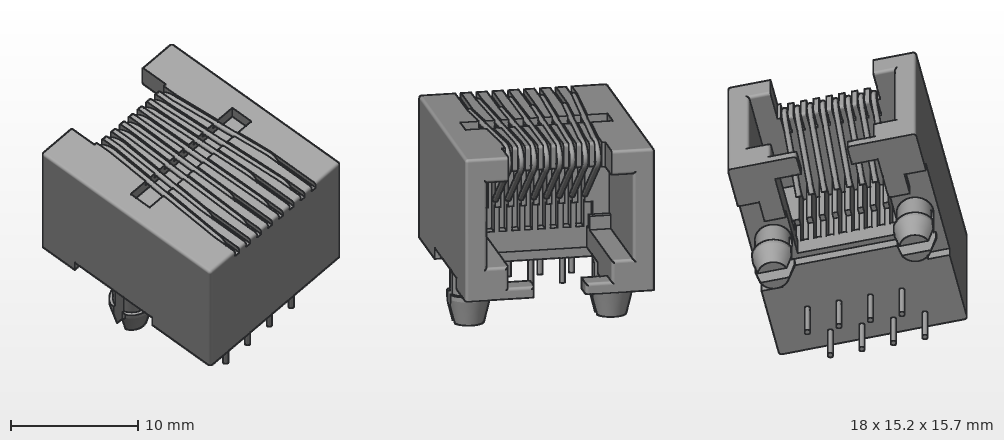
import cadquery as cq
import math

LENGTH = 18.0
WIDTH = 15.15
HEIGHT = 11.63
EDGE_R = 0.25

CAVITY_HALF = 5.85
CAVITY_FLOOR = 2.65
CAVITY_ROOF = 9.61
CAVITY_DEPTH = 9.0
KEY_HALF = 4.14
LATCH_RECESS_HALF = 4.5
LATCH_RECESS_TOP = 4.8
LATCH_RECESS_DEPTH = 9.54
STOP_DEPTH = 8.46
STOP_TOP = 3.76
ROOF_CUTOUT = 2.52
TAB_LENGTH = 1.7
TAB_TOP = 0.9
TAB_GAP_HALF = 2.05

NOTCH_START = 5.42
NOTCH_END = 10.0
NOTCH_HEIGHT = 0.92
SIDE_POCKET_START = 3.56
SIDE_POCKET_END = 11.79
WINDOW_START = 8.0
WINDOW_END = 10.0
WINDOW_HALF = 5.9
WINDOW_DEPTH = 1.08

POST_X = 7.88
POST_Y = 5.7
POST_D = 2.92
COLLAR_D = 3.5
COLLAR_WIDTH = 3.11
TIP_D = 2.5
COLLAR_TOP = -1.6
COLLAR_BOTTOM = -2.0
POST_BOTTOM = -4.05
POST_SLOT = 0.9
POST_SLOT_TOP = 0.45

LEAD_COUNT = 8
LEAD_D = 0.45
LEAD_TOP = HEIGHT + 0.04
LEAD_Z = LEAD_TOP - LEAD_D / 2
FRONT_PITCH = 1.03
ROW_SPACING = 2.54
LEG_PITCH = ROW_SPACING / 2
LEG_ROWS = (14.22, 14.22 + ROW_SPACING)
LEG_BOTTOM = -3.3
LEG_BEND_R = 1.0
HOOK_X = 4.01
HOOK_REACH = 1.5
HOOK_DROP = 1.12
ARM_ANGLE = 38.0
ARM_TIP_Z = 5.89

FRONT_SLOT = 0.6
REAR_SLOT = 0.47
GROOVE_DEPTH = 0.5
BACK_SLOT_DEPTH = 10.44

TINY = 0.02


def block(x0, x1, y0, y1, z0, z1):
    """Box given by its limits on each axis."""
    return cq.Workplane("XY").box(x1 - x0, y1 - y0, z1 - z0, centered=False).translate((x0, y0, z0))


def center_block(x0, x1, half, z0, z1):
    """Box that is symmetric about the plane Y = 0."""
    return block(x0, x1, -half, half, z0, z1)


def lead_front_y(i):
    return (i - (LEAD_COUNT - 1) / 2) * FRONT_PITCH


def lead_rear_y(i):
    return (i - (LEAD_COUNT - 1) / 2) * LEG_PITCH


def lead_leg_x(i):
    """Legs alternate between the two rows; the -Y lead is in the far row."""
    return LEG_ROWS[(i + 1) % 2]


def round_edges(body, low, high):
    """Round the edges whose centres lie between two corner points."""
    return body.edges(cq.selectors.BoxSelector(low, high)).fillet(EDGE_R)


def make_shell():
    shell = center_block(0, LENGTH, WIDTH / 2, 0, HEIGHT)
    return shell.edges("|Z or >Z").fillet(EDGE_R)


def cut_cavity(body):
    cavity = center_block(0, CAVITY_DEPTH, CAVITY_HALF, CAVITY_FLOOR, CAVITY_ROOF)
    for y0, y1 in ((-CAVITY_HALF, -KEY_HALF), (KEY_HALF, CAVITY_HALF)):
        cavity = cavity.cut(block(STOP_DEPTH, CAVITY_DEPTH, y0, y1, CAVITY_FLOOR, STOP_TOP))
    recess = center_block(
        CAVITY_DEPTH, LATCH_RECESS_DEPTH, LATCH_RECESS_HALF, CAVITY_FLOOR, LATCH_RECESS_TOP
    )
    latch_channel = center_block(0, LATCH_RECESS_DEPTH, KEY_HALF, TAB_TOP, CAVITY_FLOOR)
    open_floor = center_block(TAB_LENGTH, LATCH_RECESS_DEPTH, KEY_HALF, 0, TAB_TOP)
    tab_gap = center_block(0, TAB_LENGTH, TAB_GAP_HALF, 0, TAB_TOP)
    roof_cutout = center_block(0, ROOF_CUTOUT, KEY_HALF, CAVITY_ROOF, HEIGHT)
    for tool in (cavity, recess, latch_channel, open_floor, tab_gap, roof_cutout):
        body = body.cut(tool)
    return round_edges(
        body,
        (-TINY, -CAVITY_HALF - TINY, TINY),
        (TINY, CAVITY_HALF + TINY, CAVITY_ROOF + TINY),
    )


def cut_notch_and_window(body):
    body = body.cut(center_block(NOTCH_START, NOTCH_END, WIDTH / 2, 0, NOTCH_HEIGHT))
    for y0, y1 in ((-WIDTH / 2, -CAVITY_HALF), (CAVITY_HALF, WIDTH / 2)):
        body = body.cut(block(SIDE_POCKET_START, SIDE_POCKET_END, y0, y1, 0, NOTCH_HEIGHT))
    return body.cut(center_block(WINDOW_START, WINDOW_END, WINDOW_HALF, HEIGHT - WINDOW_DEPTH, HEIGHT))


def cut_lead_slots(body):
    """Comb slots at the front, tapering roof grooves, and slots in the cavity's back wall."""
    for i in range(LEAD_COUNT):
        y_front = lead_front_y(i)
        y_rear = lead_rear_y(i)
        splay_end = lead_leg_x(i) - LEG_BEND_R
        groove = (
            cq.Workplane("XY", origin=(0, 0, HEIGHT - GROOVE_DEPTH))
            .moveTo(HOOK_X, y_front - FRONT_SLOT / 2)
            .lineTo(splay_end, y_rear - REAR_SLOT / 2)
            .lineTo(LENGTH, y_rear - REAR_SLOT / 2)
            .lineTo(LENGTH, y_rear + REAR_SLOT / 2)
            .lineTo(splay_end, y_rear + REAR_SLOT / 2)
            .lineTo(HOOK_X, y_front + FRONT_SLOT / 2)
            .close()
            .extrude(GROOVE_DEPTH)
        )
        slot_low = y_front - FRONT_SLOT / 2
        slot_high = y_front + FRONT_SLOT / 2
        comb_slot = block(ROOF_CUTOUT, HOOK_X, slot_low, slot_high, CAVITY_ROOF, HEIGHT)
        back_slot = block(STOP_DEPTH, BACK_SLOT_DEPTH, slot_low, slot_high, CAVITY_FLOOR, CAVITY_ROOF)
        body = body.cut(groove).cut(comb_slot).cut(back_slot)
    return body


def round_comb_teeth(body):
    teeth_half = lead_front_y(LEAD_COUNT - 1)
    for z in (HEIGHT, CAVITY_ROOF):
        body = round_edges(
            body,
            (ROOF_CUTOUT - TINY, -teeth_half, z - TINY),
            (ROOF_CUTOUT + TINY, teeth_half, z + TINY),
        )
    return body


def make_post(y):
    """Round post with a flatted collar, a tapered tip and a slot along Y."""
    post = (
        cq.Workplane("XZ")
        .moveTo(0, NOTCH_HEIGHT)
        .lineTo(POST_D / 2, NOTCH_HEIGHT)
        .lineTo(POST_D / 2, COLLAR_TOP)
        .lineTo(COLLAR_D / 2, COLLAR_TOP)
        .lineTo(COLLAR_D / 2, COLLAR_BOTTOM)
        .lineTo(TIP_D / 2, POST_BOTTOM)
        .lineTo(0, POST_BOTTOM)
        .close()
        .revolve(360, (0, 0, 0), (0, 1, 0))
    )
    post = post.intersect(
        block(-COLLAR_D, COLLAR_D, -COLLAR_WIDTH / 2, COLLAR_WIDTH / 2, POST_BOTTOM, NOTCH_HEIGHT)
    )
    half_slot = POST_SLOT / 2
    slot = (
        cq.Workplane("XZ")
        .moveTo(-half_slot, POST_BOTTOM)
        .lineTo(-half_slot, POST_SLOT_TOP - half_slot)
        .threePointArc((0, POST_SLOT_TOP), (half_slot, POST_SLOT_TOP - half_slot))
        .lineTo(half_slot, POST_BOTTOM)
        .close()
        .extrude(COLLAR_WIDTH / 2, both=True)
    )
    return post.cut(slot).translate((POST_X, y, 0))


def make_leg(i):
    """Round leg with the rear bend that leads into the roof groove."""
    y_rear = lead_rear_y(i)
    leg_x = lead_leg_x(i)
    run_end_x = leg_x - LEG_BEND_R
    leg_path = (
        cq.Workplane("XZ", origin=(0, y_rear, 0))
        .moveTo(leg_x, LEG_BOTTOM)
        .lineTo(leg_x, LEAD_Z - LEG_BEND_R)
        .tangentArcPoint((run_end_x, LEAD_Z), relative=False)
    )
    return (
        cq.Workplane("XY", origin=(leg_x, y_rear, LEG_BOTTOM))
        .circle(LEAD_D / 2)
        .sweep(leg_path)
    )


def make_lead(i):
    """Round wire: leg, splayed run along the roof, front hook and spring arm."""
    y_front = lead_front_y(i)
    y_rear = lead_rear_y(i)
    run_end_x = lead_leg_x(i) - LEG_BEND_R

    run_profile = cq.Wire.makeCircle(LEAD_D / 2, cq.Vector(HOOK_X, y_front, LEAD_Z), cq.Vector(1, 0, 0))
    run_direction = cq.Vector(run_end_x - HOOK_X, y_rear - y_front, 0)
    run = cq.Workplane(cq.Solid.extrudeLinear(run_profile, [], run_direction))

    slope = math.tan(math.radians(ARM_ANGLE))
    bend_end = math.atan2(HOOK_DROP, HOOK_REACH * slope)
    arm_start_x = HOOK_X - HOOK_REACH * math.cos(bend_end)
    arm_start_z = LEAD_Z - HOOK_DROP * (1 + math.sin(bend_end))
    arm_tip_x = arm_start_x + (arm_start_z - ARM_TIP_Z) / slope
    hook_path = (
        cq.Workplane("XZ", origin=(0, y_front, 0))
        .moveTo(HOOK_X, LEAD_Z)
        .ellipseArc(HOOK_REACH, HOOK_DROP, 90, 180 + math.degrees(bend_end), startAtCurrent=True)
        .lineTo(arm_tip_x, ARM_TIP_Z)
    )
    hook = (
        cq.Workplane("YZ", origin=(HOOK_X, y_front, LEAD_Z))
        .circle(LEAD_D / 2)
        .sweep(hook_path)
    )
    return make_leg(i).union(run).union(hook)


leads = [make_lead(i) for i in range(LEAD_COUNT)]

housing = make_shell()
housing = cut_cavity(housing)
housing = cut_notch_and_window(housing)
housing = cut_lead_slots(housing)
housing = round_comb_teeth(housing)
for side in (-1, 1):
    housing = housing.union(make_post(side * POST_Y))
for lead_index in range(LEAD_COUNT):
    housing = housing.cut(make_leg(lead_index))

result = cq.Compound.makeCompound([housing.solids().val(), *[lead.val() for lead in leads]])